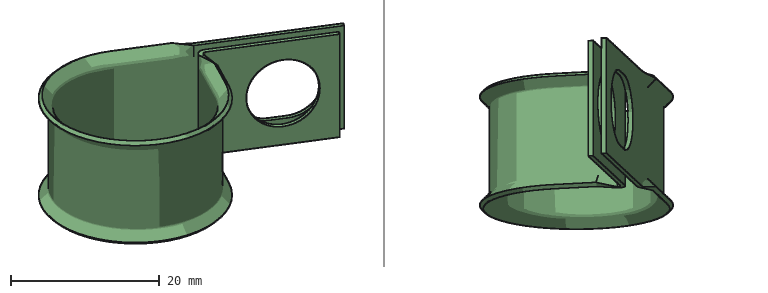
import cadquery as cq
import math

overall_length = 45.15
width = 15.9
thickness = 0.68
flange_diameter = 26.05
flange_radius = flange_diameter / 2
inner_radius = 11.05
outer_radius = inner_radius + thickness
half_width = width / 2
loop_angle = 270

flare_angle = math.radians(45)
crease_radius = 0.35

long_leg_end = overall_length - flange_radius
short_leg_end = 30.95
leg_gap = 1.45
leg_bend_radius = 0.55
short_leg_x = -inner_radius + leg_gap
bend_center_x = short_leg_x + thickness + leg_bend_radius
bend_center_y = inner_radius + thickness + leg_bend_radius

fade_length = 2.6
long_side_fade_end = 11.1
short_side_fade_end = -bend_center_x

hole_y = 23.05
hole_diameter = 10.25
slot_length = 12.8

crease_center_r = outer_radius + crease_radius
crease_outer_end_r = crease_center_r - crease_radius * math.cos(flare_angle)
wall_rise = (flange_radius - crease_outer_end_r) / math.tan(flare_angle)
rim_rise = thickness * math.sin(flare_angle)
crease_z = half_width - rim_rise - wall_rise - crease_radius * math.sin(flare_angle)


def crease_point(radius, angle):
    """Point (r, z) on an arc about the crease center, starting at the flat band."""
    return (crease_center_r - radius * math.cos(angle), crease_z + radius * math.sin(angle))


def flange_section(plane):
    """Upper flange section: local x is the distance from the loop axis."""
    inside = crease_radius + thickness
    inner_rim_r = flange_radius - thickness * math.cos(flare_angle)
    return (
        cq.Workplane(plane)
        .moveTo(inner_radius, crease_z)
        .threePointArc(crease_point(inside, flare_angle / 2), crease_point(inside, flare_angle))
        .lineTo(inner_rim_r, half_width)
        .lineTo(flange_radius, half_width - rim_rise)
        .lineTo(*crease_point(crease_radius, flare_angle))
        .threePointArc(crease_point(crease_radius, flare_angle / 2), (outer_radius, crease_z))
        .close()
    )


def flat_section(plane):
    """Flat strap edge, split at the crease so that it pairs with the flange section."""
    split_z = crease_point(crease_radius, flare_angle)[1]
    return (
        cq.Workplane(plane)
        .moveTo(inner_radius, crease_z)
        .lineTo(inner_radius, split_z)
        .lineTo(inner_radius, half_width)
        .lineTo(outer_radius, half_width)
        .lineTo(outer_radius, split_z)
        .lineTo(outer_radius, crease_z)
        .close()
    )


def straight_flange(fade_end):
    """Upper flange on the +X side, running along +Y and fading into the flat strap."""
    fade_start = fade_end - fade_length

    def section_plane(y):
        return cq.Plane(origin=(0, y, 0), xDir=(1, 0, 0), normal=(0, -1, 0))

    run = flange_section(section_plane(0)).extrude(-fade_start)
    flared = flange_section(section_plane(fade_start)).val()
    flat = flat_section(section_plane(fade_end)).val()
    fade = cq.Workplane(cq.Solid.makeLoft([flared, flat], True))
    return run.union(fade)


def box(x_min, x_max, y_min, y_max, half_height):
    return (
        cq.Workplane("XY")
        .box(x_max - x_min, y_max - y_min, 2 * half_height)
        .translate(((x_min + x_max) / 2, (y_min + y_max) / 2, 0))
    )


def loop_band():
    """Three-quarter ring and its straight runs, up to the flange creases."""
    ring = (
        cq.Workplane("XZ")
        .moveTo(inner_radius, -crease_z)
        .rect(thickness, 2 * crease_z, centered=False)
        .revolve(loop_angle, (0, 0), (0, 1))
        .rotate((0, 0, 0), (0, 0, 1), 180)
    )
    long_run = box(-outer_radius, -inner_radius, 0, long_side_fade_end, crease_z)
    short_run = box(bend_center_x, 0, inner_radius, outer_radius, crease_z)
    return ring.union(long_run).union(short_run)


def upper_flange():
    ring = (
        flange_section("XZ")
        .revolve(loop_angle, (0, 0), (0, 1))
        .rotate((0, 0, 0), (0, 0, 1), 180)
    )
    long_run = straight_flange(long_side_fade_end).mirror("YZ")
    short_run = straight_flange(short_side_fade_end).rotate((0, 0, 0), (0, 0, 1), 90)
    return ring.union(long_run).union(short_run)


def long_leg():
    leg = box(-outer_radius, -inner_radius, long_side_fade_end, long_leg_end, half_width)
    slot = (
        cq.Workplane("YZ", origin=(-outer_radius, 0, 0))
        .center(hole_y, 0)
        .slot2D(slot_length, hole_diameter)
        .extrude(thickness)
    )
    return leg.cut(slot)


def short_leg():
    leg = box(short_leg_x, short_leg_x + thickness, bend_center_y, short_leg_end, half_width)
    hole = (
        cq.Workplane("YZ", origin=(short_leg_x, 0, 0))
        .center(hole_y, 0)
        .circle(hole_diameter / 2)
        .extrude(thickness)
    )
    bend = (
        cq.Workplane("XY", origin=(bend_center_x, bend_center_y, 0))
        .circle(leg_bend_radius + thickness)
        .circle(leg_bend_radius)
        .extrude(half_width, both=True)
        .intersect(box(short_leg_x, bend_center_x, inner_radius, bend_center_y, half_width))
    )
    return leg.cut(hole).union(bend)


flange = upper_flange()
result = (
    loop_band()
    .union(flange)
    .union(flange.mirror("XY"))
    .union(long_leg())
    .union(short_leg())
)